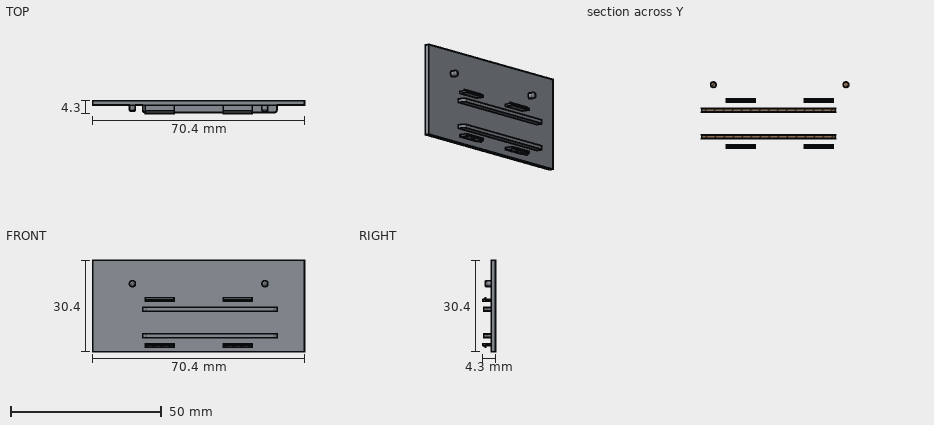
import cadquery as cq

plate_length = 70.4
plate_height = 30.45
plate_thickness = 1.5

pin_spacing = 44.0
pin_z = 7.425
pin_radius = 1.0
pin_length = 2.0
pin_fillet = 0.6

slot_center_z = -5.45

rail_left_x = -18.6
rail_length = 44.6
rail_inner_offset = 3.8
rail_thickness = 1.2
rail_depth = 2.5
rail_corner_radius = 1.0

hook_depth = 2.8
hook_width = 9.6
hook_spacing = 25.9
hook_inner_offset = 7.0
hook_shank_thickness = 0.7
hook_barb_height = 0.45
hook_barb_start = 1.8
hook_tip_thickness = 0.5


def make_plate():
    """Flat plate behind the mounting face."""
    return cq.Workplane("XY").box(
        plate_length, plate_thickness, plate_height, centered=(True, False, True)
    )


def make_pin(x):
    """Round pin with a rounded free end."""
    return (
        cq.Workplane("XZ")
        .center(x, pin_z)
        .circle(pin_radius)
        .extrude(pin_length)
        .faces("<Y")
        .edges()
        .fillet(pin_fillet)
    )


def make_rail(side):
    """Long rail above (side = 1) or below (side = -1) the slot centre."""
    center_z = slot_center_z + side * (rail_inner_offset + rail_thickness / 2)
    return (
        cq.Workplane("XY")
        .box(rail_length, rail_depth, rail_thickness, centered=(False, False, True))
        .translate((rail_left_x, -rail_depth, center_z))
        .edges("<Y and |Z")
        .fillet(rail_corner_radius)
    )


def make_hook(x, side):
    """Snap hook whose barb points away from the slot centre."""
    inner = hook_inner_offset
    shank_outer = inner + hook_shank_thickness
    profile = [
        (0, inner),
        (-hook_depth, inner),
        (-hook_depth, inner + hook_tip_thickness),
        (-hook_barb_start, shank_outer + hook_barb_height),
        (-hook_barb_start, shank_outer),
        (0, shank_outer),
    ]
    return (
        cq.Workplane("YZ")
        .polyline([(y, slot_center_z + side * offset) for y, offset in profile])
        .close()
        .extrude(hook_width / 2, both=True)
        .translate((x, 0, 0))
    )


result = make_plate()
for x_side in (-1, 1):
    result = result.union(make_pin(x_side * pin_spacing / 2))
for z_side in (-1, 1):
    result = result.union(make_rail(z_side))
    for x_side in (-1, 1):
        result = result.union(make_hook(x_side * hook_spacing / 2, z_side))